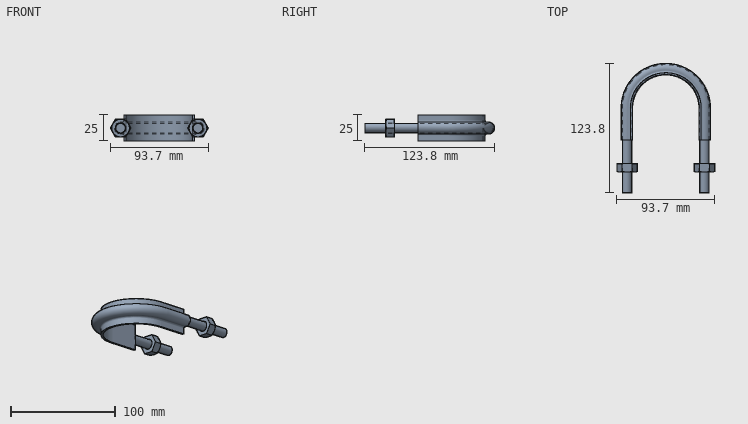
import cadquery as cq

rod_diameter = 9.2
leg_spacing = 74.0
overall_length = 123.8
sleeve_diameter = 11.6
sleeve_end_y = 50.5
strip_width = 25.0
strip_inner_radius = 31.7
strip_thickness = 2.1
root_fillet = 1.5
selection_margin = 0.1
nut_start_y = 19.8
nut_height = 8.2
nut_bore_diameter = 10.0
nut_across_corners = 19.7
nut_face_diameter = 16.8
nut_chamfer_height = 0.8

bend_radius = leg_spacing / 2
bend_center_y = overall_length - bend_radius - sleeve_diameter / 2
strip_outer_radius = strip_inner_radius + strip_thickness


def u_path(start_y):
    """Centre line of the U: leg, half-circle bend, leg."""
    return (
        cq.Workplane("XY")
        .moveTo(-bend_radius, start_y)
        .lineTo(-bend_radius, bend_center_y)
        .threePointArc((0, bend_center_y + bend_radius), (bend_radius, bend_center_y))
        .lineTo(bend_radius, start_y)
    )


def u_bar(diameter, start_y):
    """Round bar bent along the U, with its ends at start_y."""
    profile = cq.Workplane("XZ", origin=(-bend_radius, start_y, 0)).circle(diameter / 2)
    return profile.sweep(u_path(start_y))


def u_plate(radius):
    """Solid U-shaped block with the given half width, as tall as the strip."""
    return (
        cq.Workplane("XY", origin=(0, 0, -strip_width / 2))
        .moveTo(-radius, sleeve_end_y)
        .lineTo(-radius, bend_center_y)
        .threePointArc((0, bend_center_y + radius), (radius, bend_center_y))
        .lineTo(radius, sleeve_end_y)
        .close()
        .extrude(strip_width)
    )


def make_sleeve():
    """Flat liner strip joined to the round sheath that wraps the bolt."""
    inside = u_plate(strip_inner_radius)
    strip = u_plate(strip_outer_radius).cut(inside)
    sheath = u_bar(sleeve_diameter, sleeve_end_y).cut(inside)
    sleeve = strip.union(sheath)
    root_half_height = ((sleeve_diameter / 2) ** 2 - (bend_radius - strip_outer_radius) ** 2) ** 0.5
    half_width = strip_outer_radius + selection_margin
    half_height = root_half_height + selection_margin
    root_zone = cq.selectors.BoxSelector(
        (-half_width, sleeve_end_y + selection_margin, -half_height),
        (half_width, overall_length, half_height),
    )
    sleeve = sleeve.edges(root_zone).fillet(root_fillet)
    return sleeve.cut(u_bar(rod_diameter, sleeve_end_y))


def make_nut(x):
    """Hexagon nut around a leg with clearance; corners chamfered on the face towards the rod end."""
    nut = (
        cq.Workplane("XZ", origin=(x, nut_start_y + nut_height, 0))
        .polygon(6, nut_across_corners)
        .extrude(nut_height)
    )
    face_radius = nut_face_diameter / 2
    corner_radius = nut_across_corners / 2
    chamfer_envelope = (
        cq.Workplane("XY", origin=(x, nut_start_y, 0))
        .lineTo(face_radius, 0)
        .lineTo(corner_radius, nut_chamfer_height)
        .lineTo(corner_radius, nut_height)
        .lineTo(0, nut_height)
        .close()
        .revolve(360, (0, 0, 0), (0, 1, 0))
    )
    bore = (
        cq.Workplane("XZ", origin=(x, nut_start_y + nut_height, 0))
        .circle(nut_bore_diameter / 2)
        .extrude(nut_height)
    )
    return nut.intersect(chamfer_envelope).cut(bore)


u_bolt = u_bar(rod_diameter, 0)
sleeve = make_sleeve()
nuts = [make_nut(side * bend_radius) for side in (-1, 1)]

result = cq.Compound.makeCompound([u_bolt.val(), sleeve.val(), *[nut.val() for nut in nuts]])